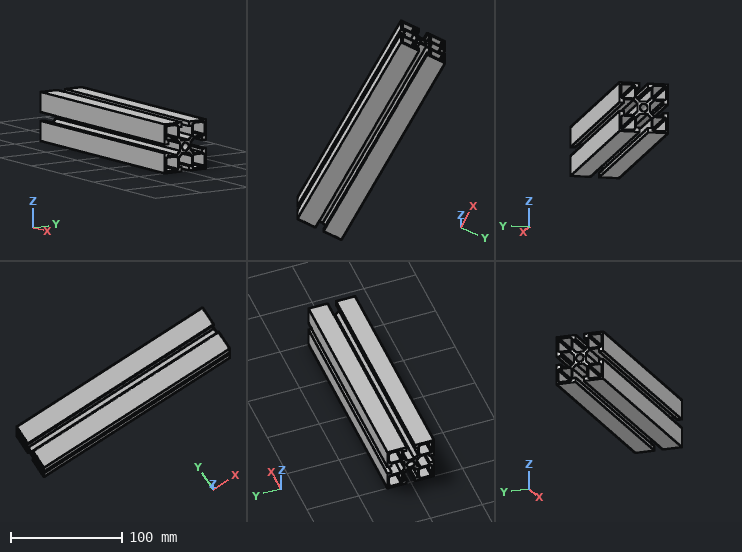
import cadquery as cq

length = 200.0
side = 45.0

slot_opening = 8.0
slot_width = 14.0
lip_depth = 4.2
core_width = 11.5
floor_chamfer = 3.5
outer_wall = 1.8
slot_wall = 1.2
hollow_chamfer = 1.0
bore_diameter = 7.2

half_side = side / 2
half_opening = slot_opening / 2
half_slot = slot_width / 2
half_floor = half_slot - floor_chamfer
floor_height = core_width / 2
lip_height = half_side - lip_depth

hollow_inner = half_slot + slot_wall
hollow_outer = half_side - outer_wall
hollow_size = hollow_outer - hollow_inner
hollow_center = (hollow_outer + hollow_inner) / 2


def slot_cutter(angle):
    """T-slot with a chamfered floor, turned about the X axis."""
    right_half = [
        (half_floor, floor_height),
        (half_slot, floor_height + floor_chamfer),
        (half_slot, lip_height),
        (half_opening, lip_height),
        (half_opening, half_side),
    ]
    left_half = [(-y, z) for y, z in reversed(right_half)]
    cutter = cq.Workplane("YZ").polyline(right_half + left_half).close().extrude(length)
    return cutter.rotate((0, 0, 0), (1, 0, 0), angle)


profile = cq.Workplane("YZ").rect(side, side).extrude(length)

for angle in (0, 90, 180, 270):
    profile = profile.cut(slot_cutter(angle))

hollows = (
    cq.Workplane("YZ")
    .rect(2 * hollow_center, 2 * hollow_center, forConstruction=True)
    .vertices()
    .rect(hollow_size, hollow_size)
    .extrude(length)
    .edges("|X")
    .chamfer(hollow_chamfer)
)
bore = cq.Workplane("YZ").circle(bore_diameter / 2).extrude(length)

result = profile.cut(hollows).cut(bore).translate((-length / 2, 0, 0))